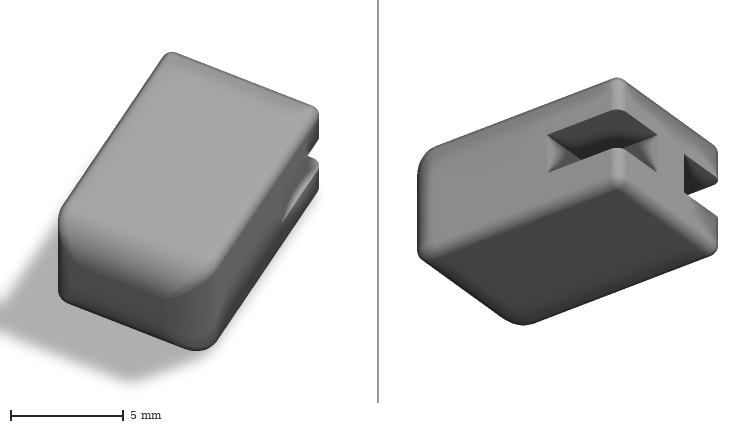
import cadquery as cq

width = 7.8
length = 12.0
height = 5.8

edge_radius = 0.5
nose_radius = 1.75

slot_height = 2.0
slot_depth = 4.0
web_length = slot_depth / 2
web_thickness = slot_height


def nosed_block(corner_edges):
    """Block with the two nose edges along one axis rounded."""
    block = cq.Workplane("XY").box(width, length, height)
    return block.faces("<Y").edges(corner_edges).fillet(nose_radius)


def rounded_body():
    """Block whose nose curves meet in mitres, with every remaining sharp edge rounded."""
    curved_in_plan = nosed_block("|Z")
    curved_in_elevation = nosed_block("|X")
    body = curved_in_plan.intersect(curved_in_elevation)
    return body.edges("|Y or >Y").fillet(edge_radius)


def tail_slot():
    """Full-width slot cut in from the +Y end."""
    slot = cq.Workplane("XY").box(width, slot_depth, slot_height)
    return slot.translate((0, (length - slot_depth) / 2, 0))


def web():
    """Part of the slot left solid at the tail end."""
    block = cq.Workplane("XY").box(web_thickness, web_length, slot_height)
    return block.translate((0, (length - web_length) / 2, 0))


result = rounded_body().cut(tail_slot().cut(web()))